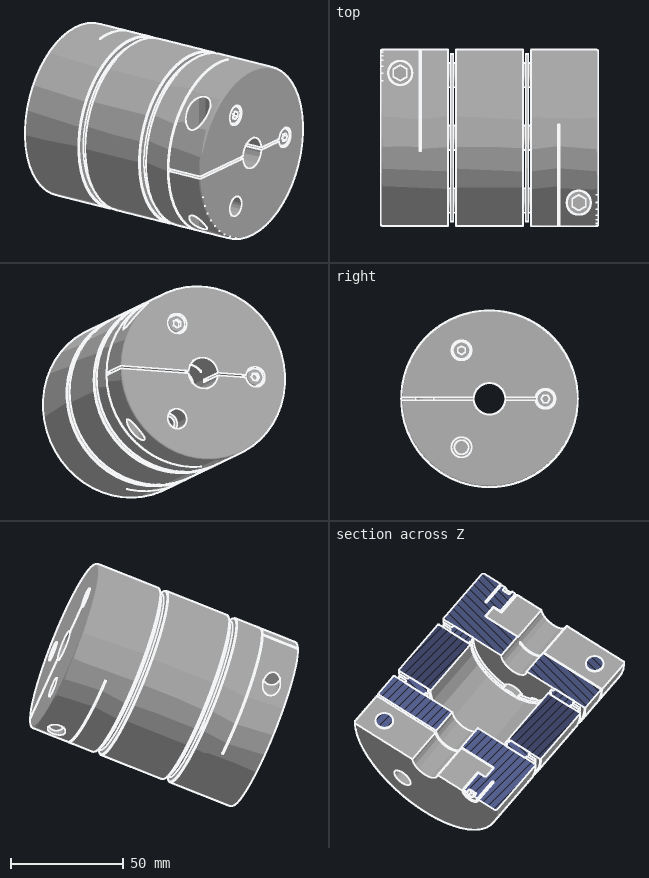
import cadquery as cq
import math

total_length = 97.2
outer_diameter = 79.0
disc_gap = 3.2
barrel_length = (total_length - 2 * disc_gap) / 3
bore_diameter = 14.0
end_fillet = 1.0
inner_chamfer = 0.4

disc_diameter = 75.0
disc_bore = 43.0
disc_thickness = 1.3
washer_diameter = 11.0
washer_radius_y = 28.0
first_washer_radius_z = 28.0
second_washer_radius_z = 25.0

slit_depth = 17.7
axial_slit_width = 1.2
cross_slit_width = 0.6
cross_slit_end = -5.8

clamp_offset_y = 29.0
clamp_from_end = 8.7
clamp_counterbore = 11.0
clamp_seat_height = 5.4
clamp_head_diameter = 10.5
clamp_head_top = 13.4
clamp_head_fillet = 0.2
clamp_socket_flats = 6.0
clamp_socket_depth = 3.9
clamp_corner_angle = 90
clamp_shank_diameter = 8.0
clamp_shank_bottom = -17.5

bolt_circle_radius = 25.0
bolt_counterbore = 9.0
bolt_seat_depth = 11.7
bolt_hole_diameter = 6.3
bolt_head_diameter = 7.7
bolt_head_recess = 0.2
bolt_head_fillet = 0.4
bolt_socket_flats = 3.3
bolt_socket_depth = 1.9
open_hole_angle = -60
bolt_angles = (60, 180)
bolt_corner_angle = {60: 90, 180: 0}

hub_start = -total_length / 2
hub_end = hub_start + barrel_length
spacer_start = hub_end + disc_gap


def cylinder_x(diameter, start, length, y=0.0, z=0.0):
    """Cylinder along X that begins at the given X."""
    return cq.Workplane("YZ", origin=(start, y, z)).circle(diameter / 2).extrude(length)


def cylinder_z(diameter, bottom, top, x, y):
    """Cylinder along Z between two heights."""
    return cq.Workplane("XY", origin=(x, y, bottom)).circle(diameter / 2).extrude(top - bottom)


def hexagon(workplane, flats, depth, corner_angle):
    """Hexagonal prism of the given width across flats."""
    corner_diameter = flats / math.cos(math.pi / 6)
    return workplane.transformed(rotate=(0, 0, corner_angle)).polygon(6, corner_diameter).extrude(depth)


def cut_slits(hub):
    """Axial slit towards the clamp screw, relief slit to the open side and cross slit behind them."""
    slit_far_y = outer_diameter / 2
    axial_slit = cq.Workplane("XY").box(
        slit_depth, slit_far_y + bolt_circle_radius, axial_slit_width, centered=(False, False, True)
    ).translate((hub_start, -bolt_circle_radius, 0))
    cross_slit = cq.Workplane("XY").box(
        cross_slit_width, slit_far_y - cross_slit_end, outer_diameter, centered=(True, False, True)
    ).translate((hub_start + slit_depth, cross_slit_end, 0))
    return hub.cut(axial_slit).cut(cross_slit)


def add_clamp_screw(hub):
    """Counterbored cross hole with the socket head screw that closes the axial slit."""
    x = hub_start + clamp_from_end
    y = clamp_offset_y
    rim = outer_diameter / 2
    hub = hub.cut(cylinder_z(clamp_counterbore, clamp_seat_height, rim, x, y))
    hub = hub.cut(cylinder_z(clamp_shank_diameter, -rim, clamp_seat_height, x, y))
    hub = hub.union(cylinder_z(clamp_shank_diameter, clamp_shank_bottom, clamp_seat_height, x, y))
    head = cylinder_z(clamp_head_diameter, clamp_seat_height, clamp_head_top, x, y)
    hub = hub.union(head.faces(">Z").edges().fillet(clamp_head_fillet))
    socket_plane = cq.Workplane("XY", origin=(x, y, clamp_head_top))
    return hub.cut(hexagon(socket_plane, clamp_socket_flats, -clamp_socket_depth, clamp_corner_angle))


def bolt_place(angle):
    """Y and Z of a disc bolt at the given angle."""
    return (
        bolt_circle_radius * math.cos(math.radians(angle)),
        bolt_circle_radius * math.sin(math.radians(angle)),
    )


def add_disc_bolts(hub):
    """Three counterbored holes along X: two filled by socket head bolts and one left open."""
    for angle in (open_hole_angle, *bolt_angles):
        hub = hub.cut(cylinder_x(bolt_counterbore, hub_start, bolt_seat_depth, *bolt_place(angle)))
    hub = hub.cut(cylinder_x(bolt_hole_diameter, hub_start, barrel_length, *bolt_place(open_hole_angle)))
    head_top = hub_start + bolt_head_recess
    for angle in bolt_angles:
        y, z = bolt_place(angle)
        head = cylinder_x(bolt_head_diameter, head_top, bolt_seat_depth - bolt_head_recess, y, z)
        head = head.faces("<X").fillet(bolt_head_fillet)
        socket_plane = cq.Workplane("YZ", origin=(head_top, y, z))
        socket = hexagon(socket_plane, bolt_socket_flats, bolt_socket_depth, bolt_corner_angle[angle])
        hub = hub.union(head.cut(socket))
    return hub


def make_hub(turn):
    """Clamping hub with its screws, turned about Z to its end of the coupling."""
    hub = cylinder_x(outer_diameter, hub_start, barrel_length)
    hub = hub.faces("<X").edges().fillet(end_fillet)
    hub = hub.faces(">X").edges().chamfer(inner_chamfer)
    hub = hub.cut(cylinder_x(bore_diameter, hub_start, barrel_length))
    hub = add_disc_bolts(add_clamp_screw(cut_slits(hub)))
    return hub.rotate((0, 0, 0), (0, 0, 1), turn)


def make_spacer():
    """Plain barrel between the two disc packs."""
    spacer = cylinder_x(outer_diameter, spacer_start, barrel_length)
    spacer = spacer.faces("<X or >X").edges().chamfer(inner_chamfer)
    return spacer.cut(cylinder_x(disc_bore, spacer_start, barrel_length))


def make_disc_pack(gap_start, washer_radius_z):
    """Flexible disc with four washers that span the gap on both of its sides."""
    disc_start = gap_start + (disc_gap - disc_thickness) / 2
    pack = cylinder_x(disc_diameter, disc_start, disc_thickness)
    pack = pack.cut(cylinder_x(disc_bore, disc_start, disc_thickness))
    for side in (-1, 1):
        pack = pack.union(cylinder_x(washer_diameter, gap_start, disc_gap, y=side * washer_radius_y))
        pack = pack.union(cylinder_x(washer_diameter, gap_start, disc_gap, z=side * washer_radius_z))
    return pack


hubs = [make_hub(turn) for turn in (0, 180)]
spacer = make_spacer()
first_disc_pack = make_disc_pack(hub_end, first_washer_radius_z)
second_disc_pack = make_disc_pack(spacer_start + barrel_length, second_washer_radius_z)

result = cq.Compound.makeCompound(
    [*(hub.val() for hub in hubs), spacer.val(), first_disc_pack.val(), second_disc_pack.val()]
)